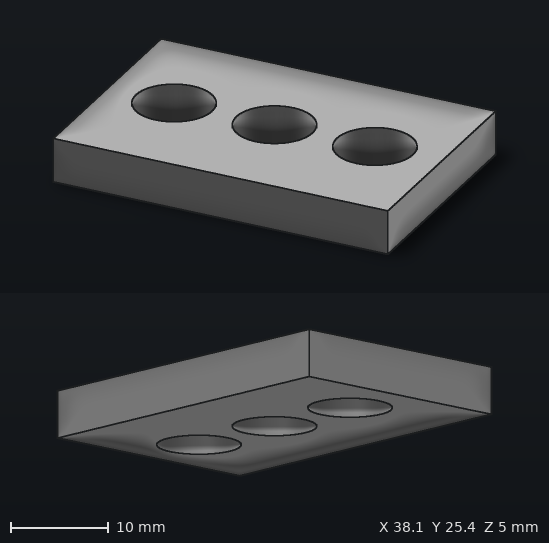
import cadquery as cq

length = 38.1
width = 25.4
thickness = 5.0

hole_diameter = 8.65
hole_spacing = 11.43
hole_count = 3

plate = cq.Workplane("XY").box(length, width, thickness)

result = (
    plate.faces(">Z")
    .workplane()
    .rarray(hole_spacing, 0.4, hole_count, 1)
    .hole(hole_diameter)
)